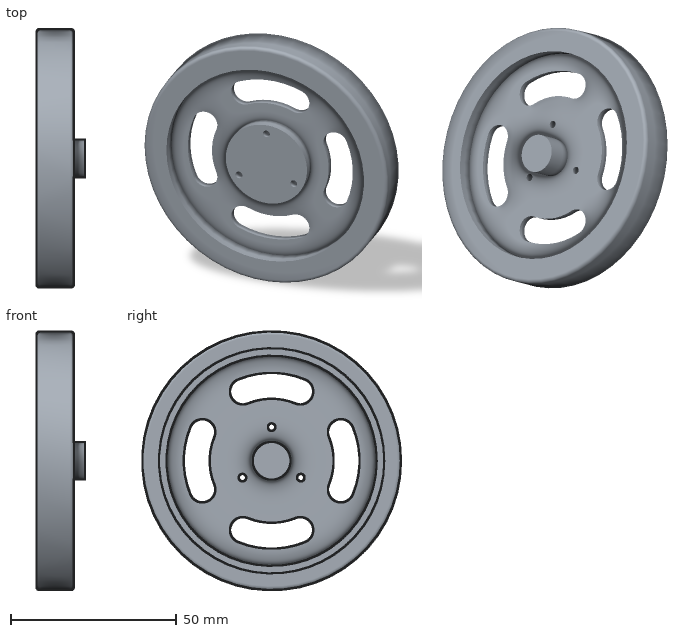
import cadquery as cq
import math

outer_radius = 39.1
wheel_width = 11.3
total_length = 14.7

rim_outer_radius = 34.0
rim_inner_radius = 31.7
tyre_fillet = 1.1

web_thickness = 2.3
web_front = (wheel_width - web_thickness) / 2
web_back = web_front + web_thickness

window_count = 4
window_inner_radius = 18.75
window_outer_radius = 26.5
window_half_angle = 22.5

flange_radius = 13.05
flange_front = 1.1
shaft_radius = 5.7

screw_count = 3
screw_circle_radius = 10.15
screw_hole_radius = 1.1


def disc(radius, start, end):
    """Solid cylinder on the X axis between two X positions."""
    return cq.Workplane("YZ").workplane(offset=start).circle(radius).extrude(end - start)


def polar(radius, angle):
    """Point (Y, Z) at an angle in degrees from the +Y direction."""
    return radius * math.cos(math.radians(angle)), radius * math.sin(math.radians(angle))


def window(middle_angle):
    """Curved slot with round ends, cut through the web."""
    middle_radius = (window_inner_radius + window_outer_radius) / 2
    end_radius = (window_outer_radius - window_inner_radius) / 2
    start = middle_angle - window_half_angle
    end = middle_angle + window_half_angle
    tip_angle = math.degrees(2 * math.asin(end_radius / (2 * middle_radius)))
    return (
        cq.Workplane("YZ").workplane(offset=web_front)
        .moveTo(*polar(window_outer_radius, start))
        .threePointArc(polar(window_outer_radius, middle_angle), polar(window_outer_radius, end))
        .threePointArc(polar(middle_radius, end + tip_angle), polar(window_inner_radius, end))
        .threePointArc(polar(window_inner_radius, middle_angle), polar(window_inner_radius, start))
        .threePointArc(polar(middle_radius, start - tip_angle), polar(window_outer_radius, start))
        .close()
        .extrude(web_thickness)
    )


def screw_holes():
    """Cutters for the screw holes, the first one at the top."""
    centres = [polar(screw_circle_radius, 90 + i * 360 / screw_count) for i in range(screw_count)]
    return (
        cq.Workplane("YZ").workplane(offset=flange_front)
        .pushPoints(centres)
        .circle(screw_hole_radius)
        .extrude(web_back - flange_front)
    )


def make_tyre():
    """Ring around the rim with rounded outer edges."""
    tread = disc(outer_radius, 0, wheel_width).edges().fillet(tyre_fillet)
    return tread.cut(disc(rim_outer_radius, 0, wheel_width))


def make_wheel():
    """Rim and web in one piece, with windows, screw holes and a bore for the shaft."""
    wheel = disc(rim_outer_radius, 0, wheel_width)
    wheel = wheel.cut(disc(rim_inner_radius, 0, web_front))
    wheel = wheel.cut(disc(rim_inner_radius, web_back, wheel_width))
    wheel = wheel.cut(disc(shaft_radius, web_front, web_back))
    for i in range(window_count):
        wheel = wheel.cut(window(i * 360 / window_count))
    return wheel.cut(screw_holes())


def make_hub():
    """Flange with screw holes and a plain shaft."""
    flange = disc(flange_radius, flange_front, web_front)
    shaft = disc(shaft_radius, web_front, total_length)
    return flange.union(shaft).cut(screw_holes())


tyre = make_tyre()
wheel = make_wheel()
hub = make_hub()

result = cq.Compound.makeCompound([tyre.val(), wheel.val(), hub.val()])